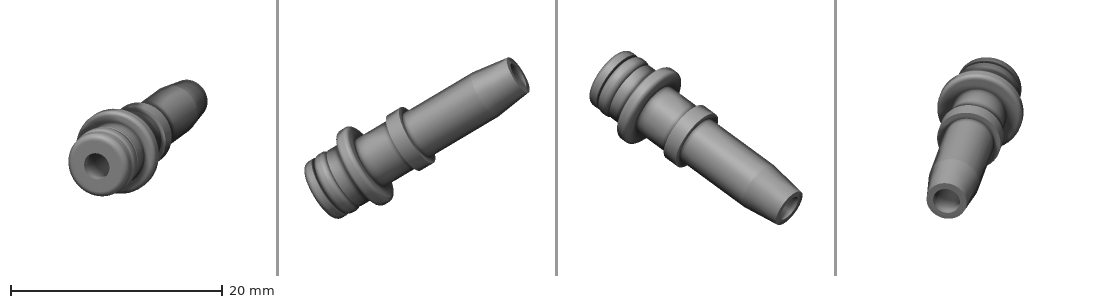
import cadquery as cq

length = 22.7
bore_radius = 1.3

nose_radius = 3.1
nose_end = 1.11
seal_radius = 3.2
seal_start = 1.2
seal_end = 2.7
plug_round = 0.6
core_radius = 2.5

collar_radius = 3.06
collar_start = 2.75
collar_chamfer = 0.07
flange_diameter = 8.2
flange_radius = flange_diameter / 2
flange_start = 4.43
flange_end = 5.79
flange_round = 0.4

neck_radius = 2.63
band_start = 9.6
band_end = 11.1
stem_radius = 2.43
taper_length = 3.77
taper_start = length - taper_length
tip_radius = 1.93


def cylinder(radius, start, end):
    """Solid disc around the Y axis between two stations."""
    base = cq.Workplane("XZ", origin=(0, start, 0))
    return base.circle(radius).extrude(start - end)


nose = cylinder(nose_radius, 0, nose_end).faces("<Y").edges().fillet(plug_round)
core = cylinder(core_radius, nose_end, collar_start)
seal = cylinder(seal_radius, seal_start, seal_end).edges().fillet(plug_round)
collar = cylinder(collar_radius, collar_start, flange_start).faces("<Y").edges().chamfer(collar_chamfer)
flange = cylinder(flange_radius, flange_start, flange_end).edges().fillet(flange_round)
neck = cylinder(neck_radius, flange_end, band_start)
band = cylinder(collar_radius, band_start, band_end)
stem = cylinder(stem_radius, band_end, taper_start)

tip = (
    cq.Workplane("XZ", origin=(0, taper_start, 0))
    .circle(stem_radius)
    .workplane(offset=-taper_length)
    .circle(tip_radius)
    .loft(ruled=True)
)

body = nose
for section in (core, seal, collar, flange, neck, band, stem, tip):
    body = body.union(section)

result = body.cut(cylinder(bore_radius, 0, length))